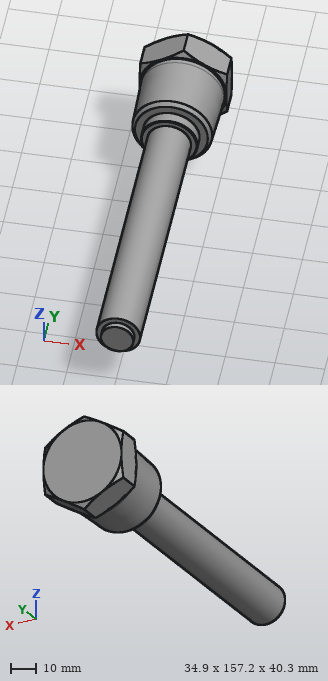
import cadquery as cq
import math

total_length = 157.2
head_end_y = total_length / 2

hex_across_flats = 34.9
hex_length = 12.5
hex_chamfer_angle = 30.0

thread_large_diameter = 33.6
thread_small_diameter = 32.0
thread_end_diameter = 29.2
collar_diameter = 22.6
tube_diameter = 17.6
tip_diameter = 13.0

thread_relief_length = 2.2
thread_length = 25.5
thread_chamfer_length = 1.9
collar_length = 4.9
collar_chamfer = 0.3
tip_length = 2.5

thread_end = hex_length + thread_length
collar_end = thread_end + collar_length
tube_end = total_length - tip_length


def revolve_profile(points):
    """Revolve (radius, distance from head face) points about the Y axis."""
    outline = [(radius, head_end_y - distance) for radius, distance in points]
    return cq.Workplane("XY").polyline(outline).close().revolve(360, (0, 0, 0), (0, 1, 0))


def hex_head():
    """Hexagon with corners on +Z and -Z, cut back by a cone at both ends."""
    corner_radius = hex_across_flats / math.sqrt(3)
    flat_radius = hex_across_flats / 2
    chamfer_length = (corner_radius - flat_radius) * math.tan(math.radians(hex_chamfer_angle))
    prism = (
        cq.Workplane("XZ", origin=(0, head_end_y, 0))
        .polygon(6, 2 * corner_radius)
        .extrude(hex_length)
        .rotate((0, 0, 0), (0, 1, 0), 30)
    )
    envelope = revolve_profile([
        (0, 0),
        (flat_radius, 0),
        (corner_radius, chamfer_length),
        (corner_radius, hex_length - chamfer_length),
        (flat_radius, hex_length),
        (0, hex_length),
    ])
    return prism.intersect(envelope)


def turned_body():
    """Tapered thread blank, collar, long tube and tip as one turned shape."""
    return revolve_profile([
        (0, hex_length),
        (thread_large_diameter / 2, hex_length),
        (thread_large_diameter / 2, hex_length + thread_relief_length),
        (thread_small_diameter / 2, thread_end - thread_chamfer_length),
        (thread_end_diameter / 2, thread_end),
        (collar_diameter / 2, thread_end),
        (collar_diameter / 2, collar_end - collar_chamfer),
        (collar_diameter / 2 - collar_chamfer, collar_end),
        (tube_diameter / 2, collar_end),
        (tube_diameter / 2, tube_end),
        (tip_diameter / 2, tube_end),
        (tip_diameter / 2, total_length),
        (0, total_length),
    ])


result = hex_head().union(turned_body())